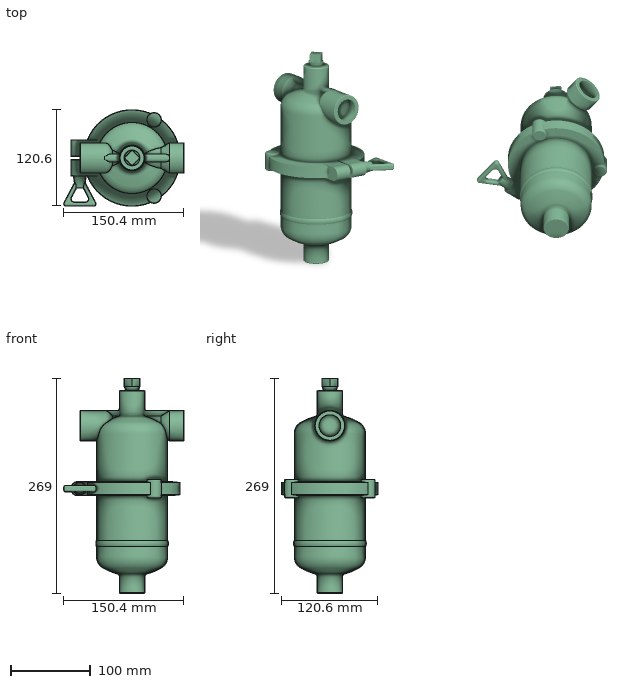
import cadquery as cq
import math

total_height = 269.0

shell_radius = 89.0 / 2
crown_radius = 71.0
knuckle_radius = 16.0
lower_tangent_z = 46.0
upper_tangent_z = 200.0
weld_bottom_z = 59.0
weld_top_z = 66.2
weld_height = 1.0

neck_radius = 32.0 / 2
neck_top_z = 254.0
neck_chamfer = 1.0
neck_blend_radius = 2.5

plug_square = 14.0
plug_head_height = 10.0
plug_top_radius = 9.6
plug_bottom_radius = 8.0

port_axis_z = 210.0
port_radius = 38.0 / 2
port_bore_radius = 27.05 / 2
port_bore_depth = 13.0
port_half_length = 65.0
port_chamfer = 0.6
branch_radius = 13.2
inlet_shoulder_x = -34.2
inlet_shoulder_radius = 9.0
inlet_cone_angle = math.radians(45)
outlet_shoulder_x = 46.8
outlet_taper_length = 10.4

rib_width = 9.6
rib_edge_radius = 3.7
rib_neck_blend = 2.0

ring_z = 131.2
ring_radius = 120.62 / 2
ring_flat_radius = 49.2
ring_inner_height = 17.7
ring_outer_height = 15.0

lug_half_width = 22.5
lug_gap = 4.0
lug_end_x = -67.7

pin_x = 27.6
pin_y = 47.7
pin_radius = 9.0
pin_height = 23.0
pin_edge_radius = 1.8

handle_left_x = -85.43
handle_x = -65.3
handle_end_y = -ring_radius
handle_slope = math.radians(27.8)
handle_bar_width = 5.2
handle_height = 8.3
handle_top_y = -27.5
handle_corner_radius = 3.0
handle_window_radius = 4.0
handle_edge_radius = 2.5
hub_end_y = -37.7
hub_base_radius = 8.0
hub_end_radius = 5.9
hub_edge_radius = 1.5


def head_profile():
    """Points of a torispherical head as (radius, height above the tangent line)."""
    centre_radius = shell_radius - knuckle_radius
    joint_angle = math.asin(centre_radius / (crown_radius - knuckle_radius))
    crown_drop = (crown_radius - knuckle_radius) * math.cos(joint_angle)
    middle = (math.radians(90) - joint_angle) / 2
    knuckle_middle = (
        centre_radius + knuckle_radius * math.cos(middle),
        knuckle_radius * math.sin(middle),
    )
    joint = (
        crown_radius * math.sin(joint_angle),
        knuckle_radius * math.cos(joint_angle),
    )
    half = joint_angle / 2
    crown_middle = (
        crown_radius * math.sin(half),
        crown_radius * math.cos(half) - crown_drop,
    )
    apex = (0, crown_radius - crown_drop)
    return knuckle_middle, joint, crown_middle, apex


def make_vessel():
    knuckle_middle, joint, crown_middle, apex = head_profile()

    def upper(point):
        return (point[0], upper_tangent_z + point[1])

    def lower(point):
        return (point[0], lower_tangent_z - point[1])

    weld_middle = (shell_radius + weld_height, (weld_bottom_z + weld_top_z) / 2)
    shell = (
        cq.Workplane("XZ")
        .moveTo(*lower(apex))
        .threePointArc(lower(crown_middle), lower(joint))
        .threePointArc(lower(knuckle_middle), (shell_radius, lower_tangent_z))
        .lineTo(shell_radius, weld_bottom_z)
        .threePointArc(weld_middle, (shell_radius, weld_top_z))
        .lineTo(shell_radius, upper_tangent_z)
        .threePointArc(upper(knuckle_middle), upper(joint))
        .threePointArc(upper(crown_middle), upper(apex))
        .close()
        .revolve(360, (0, 0, 0), (0, 1, 0))
    )
    neck = (
        cq.Workplane("XY")
        .circle(neck_radius)
        .extrude(neck_top_z)
        .faces("<Z or >Z")
        .chamfer(neck_chamfer)
    )
    root_reach = neck_radius + neck_chamfer
    root_edges = cq.selectors.BoxSelector(
        (-root_reach, -root_reach, 2 * neck_chamfer),
        (root_reach, root_reach, neck_top_z - 2 * neck_chamfer),
        boundingbox=True,
    )
    return shell.union(neck).edges(root_edges).fillet(neck_blend_radius)


def make_plug():
    head_bottom_z = total_height - plug_head_height
    head = (
        cq.Workplane("XY", origin=(0, 0, head_bottom_z))
        .rect(plug_square, plug_square)
        .extrude(plug_head_height)
        .rotate((0, 0, 0), (0, 0, 1), 45)
    )
    shank = (
        cq.Workplane("XY", origin=(0, 0, neck_top_z))
        .circle(plug_bottom_radius)
        .workplane(offset=head_bottom_z - neck_top_z)
        .circle(plug_top_radius)
        .loft()
    )
    return head.union(shank)


def make_ports():
    """Both ports and the narrower branch between them, as one turned body."""
    shoulder_shift = inlet_shoulder_radius * math.sin(inlet_cone_angle)
    shoulder_drop = inlet_shoulder_radius * (1 - math.cos(inlet_cone_angle))
    middle = inlet_cone_angle / 2
    shoulder_middle = (
        inlet_shoulder_x + inlet_shoulder_radius * math.sin(middle),
        port_radius - inlet_shoulder_radius * (1 - math.cos(middle)),
    )
    shoulder_end = (inlet_shoulder_x + shoulder_shift, port_radius - shoulder_drop)
    cone_end_x = shoulder_end[0] + (shoulder_end[1] - branch_radius) / math.tan(inlet_cone_angle)
    ports = (
        cq.Workplane("XZ")
        .moveTo(-port_half_length, 0)
        .lineTo(-port_half_length, port_radius)
        .lineTo(inlet_shoulder_x, port_radius)
        .threePointArc(shoulder_middle, shoulder_end)
        .lineTo(cone_end_x, branch_radius)
        .lineTo(outlet_shoulder_x - outlet_taper_length, branch_radius)
        .lineTo(outlet_shoulder_x, port_radius)
        .lineTo(port_half_length, port_radius)
        .lineTo(port_half_length, 0)
        .close()
        .revolve(360, (0, 0, 0), (1, 0, 0))
        .faces("<X or >X")
        .chamfer(port_chamfer)
    )
    return ports.translate((0, 0, port_axis_z))


def make_port_bore(side):
    return (
        cq.Workplane("YZ", origin=(side * port_half_length, 0, port_axis_z))
        .circle(port_bore_radius)
        .extrude(-side * port_bore_depth)
    )


def make_rib():
    """Round-topped rib, flared where it meets the sides of the top neck."""
    rib_length = outlet_shoulder_x - inlet_shoulder_x
    rib = (
        cq.Workplane("XY", origin=((outlet_shoulder_x + inlet_shoulder_x) / 2, 0, port_axis_z))
        .rect(rib_length, rib_width)
        .extrude(port_radius)
        .edges("|X and >Z")
        .fillet(rib_edge_radius)
    )
    core = (
        cq.Workplane("XY", origin=(0, 0, port_axis_z))
        .circle(neck_radius)
        .extrude(neck_top_z - neck_chamfer - port_axis_z)
        .rotate((0, 0, 0), (0, 0, 1), 90)
    )
    flared = core.union(rib)
    for side in (-1, 1):
        joint_edges = cq.selectors.BoxSelector(
            (side * neck_radius * 0.9, -rib_width, port_axis_z + rib_neck_blend),
            (side * neck_radius * 1.1, rib_width, neck_top_z),
        )
        flared = flared.edges(joint_edges).fillet(rib_neck_blend)
    return flared


def make_clamp_ring():
    return (
        cq.Workplane("XZ")
        .moveTo(0, -ring_inner_height / 2)
        .lineTo(ring_flat_radius, -ring_inner_height / 2)
        .lineTo(ring_radius, -ring_outer_height / 2)
        .lineTo(ring_radius, ring_outer_height / 2)
        .lineTo(ring_flat_radius, ring_inner_height / 2)
        .lineTo(0, ring_inner_height / 2)
        .close()
        .revolve(360, (0, 0, 0), (0, 1, 0))
        .translate((0, 0, ring_z))
    )


def make_lugs():
    end_radius = ring_inner_height / 2
    return (
        cq.Workplane("XZ", origin=(0, lug_half_width, ring_z))
        .moveTo(0, -end_radius)
        .lineTo(lug_end_x, -end_radius)
        .threePointArc((lug_end_x - end_radius, 0), (lug_end_x, end_radius))
        .lineTo(0, end_radius)
        .close()
        .extrude(2 * lug_half_width)
    )


def make_clamp_gap():
    gap_length = 2 * ring_radius
    return (
        cq.Workplane("XY", origin=(-gap_length / 2, 0, ring_z))
        .box(gap_length, lug_gap, ring_inner_height)
    )


def make_pins():
    return (
        cq.Workplane("XY", origin=(0, 0, ring_z - pin_height / 2))
        .pushPoints([(pin_x, pin_y), (pin_x, -pin_y)])
        .circle(pin_radius)
        .extrude(pin_height)
        .faces("<Z or >Z")
        .edges()
        .fillet(pin_edge_radius)
    )


def trapezoid(base_y, base_half_width, top_y):
    """Upright prism, symmetric about the handle axis, with the handle's side slope."""
    top_half_width = base_half_width - (top_y - base_y) * math.tan(handle_slope)
    return (
        cq.Workplane("XY", origin=(handle_x, 0, ring_z - handle_height / 2))
        .polyline([
            (-base_half_width, base_y),
            (base_half_width, base_y),
            (top_half_width, top_y),
            (-top_half_width, top_y),
        ])
        .close()
        .extrude(handle_height)
    )


def make_handle():
    corner_x = handle_x - handle_left_x - handle_corner_radius
    outer_half_width = corner_x + handle_corner_radius * (
        1 / math.cos(handle_slope) + math.tan(handle_slope)
    )
    window_base_y = handle_end_y + handle_bar_width
    window_half_width = (
        outer_half_width
        - handle_bar_width * (math.tan(handle_slope) + 1 / math.cos(handle_slope))
    )
    window_top_y = hub_end_y + 2 * hub_edge_radius
    frame = trapezoid(handle_end_y, outer_half_width, handle_top_y)
    frame = frame.edges("|Z and <Y").fillet(handle_corner_radius)
    window = trapezoid(window_base_y, window_half_width, window_top_y)
    window = window.edges("|Z and <Y").fillet(handle_window_radius)
    frame = frame.cut(window)
    frame = frame.faces("<Z or >Z").edges().edges("not >Y").fillet(handle_edge_radius)

    hub = (
        cq.Workplane("XZ", origin=(handle_x, -lug_half_width, ring_z))
        .circle(hub_base_radius)
        .workplane(offset=-lug_half_width - hub_end_y)
        .circle(hub_end_radius)
        .loft()
        .faces("<Y")
        .edges()
        .fillet(hub_edge_radius)
    )
    return frame.union(hub)


vessel = make_vessel()
clamp = make_clamp_ring().union(make_lugs()).cut(make_clamp_gap()).union(make_pins())

result = vessel.union(make_ports()).union(make_rib()).union(make_plug())
result = result.union(clamp).union(make_handle())
for port_side in (-1, 1):
    result = result.cut(make_port_bore(port_side))